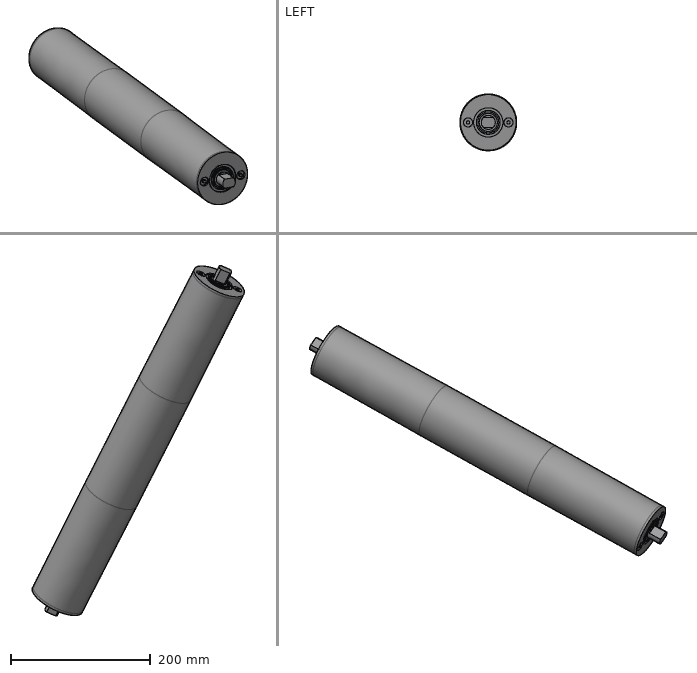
import cadquery as cq

total_length = 591.0
body_length = 549.5
crown_section_length = body_length / 3
middle_diameter = 81.5
end_diameter = 80.0
rim_length = 3.5

shaft_diameter = 20.0
flat_thickness = 14.0
collar_length = 2.0

groove_depth = 2.5
groove_diameters = [(42.0, 34.0), (30.0, 26.0)]
screw_recess_diameter = 13.0
screw_recess_depth = 3.5
screw_pin_diameter = 5.0
screw_offset = 29.0

body_end = body_length / 2
shaft_tip = total_length / 2


def disc(start, length, diameter, y=0.0):
    """Cylinder along +X starting at the given X position."""
    return cq.Workplane("YZ", origin=(start, y, 0)).circle(diameter / 2).extrude(length)


def ring(start, length, outer_diameter, inner_diameter, y=0.0):
    """Tube along +X starting at the given X position."""
    return disc(start, length, outer_diameter, y).cut(disc(start, length, inner_diameter, y))


def crowned_body():
    """Cylindrical middle third, tapered outer thirds and a straight rim on each end."""
    taper_end = body_end - rim_length
    middle_end = crown_section_length / 2
    profile = [
        (-body_end, 0),
        (-body_end, end_diameter / 2),
        (-taper_end, end_diameter / 2),
        (-middle_end, middle_diameter / 2),
        (middle_end, middle_diameter / 2),
        (taper_end, end_diameter / 2),
        (body_end, end_diameter / 2),
        (body_end, 0),
    ]
    return cq.Workplane("XY").polyline(profile).close().revolve(360, (0, 0, 0), (1, 0, 0))


def end_face_cuts():
    """Concentric ring grooves and two screw recesses, cut into the +X face."""
    groove_start = body_end - groove_depth
    screw_recess_start = body_end - screw_recess_depth
    cuts = cq.Workplane("YZ")
    for outer_diameter, inner_diameter in groove_diameters:
        cuts = cuts.add(ring(groove_start, groove_depth, outer_diameter, inner_diameter))
    for y in (-screw_offset, screw_offset):
        cuts = cuts.add(
            ring(screw_recess_start, screw_recess_depth, screw_recess_diameter, screw_pin_diameter, y)
        )
    return cuts.combine()


def shaft_stub():
    """Round collar followed by a flatted shaft end, on the +X side."""
    flat_start = body_end + collar_length
    flat_length = shaft_tip - flat_start
    collar = disc(body_end, collar_length, shaft_diameter)
    flat_slab = cq.Workplane("XY").box(
        flat_length, shaft_diameter, flat_thickness, centered=(False, True, True)
    ).translate((flat_start, 0, 0))
    flatted_end = disc(flat_start, flat_length, shaft_diameter).intersect(flat_slab)
    return collar.union(flatted_end)


cuts = end_face_cuts()
stub = shaft_stub()
result = crowned_body().cut(cuts).cut(cuts.mirror("YZ"))
result = result.union(stub).union(stub.mirror("YZ"))